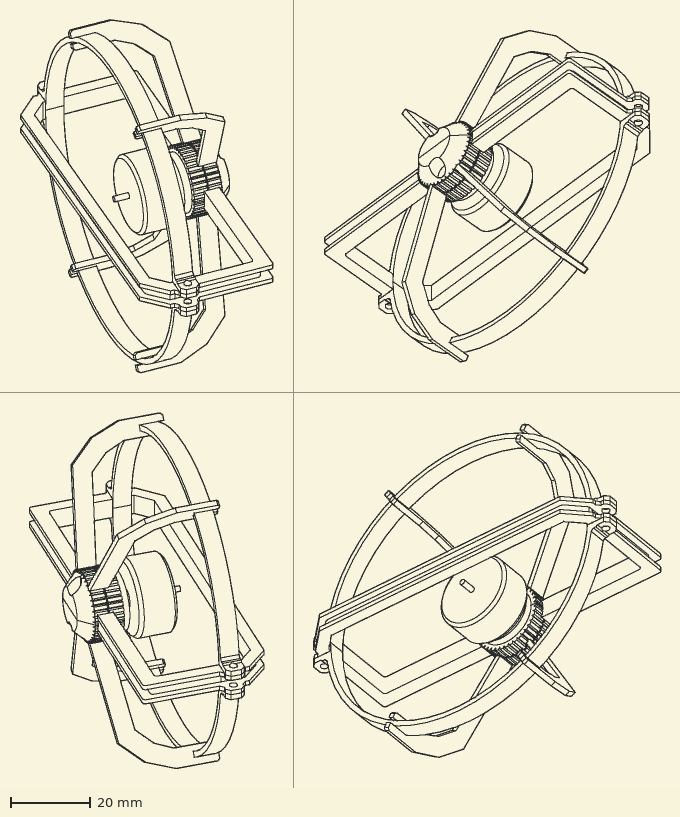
import cadquery as cq
import math

part_yaw = -0.5
wall = 1.5

ring_outer_radius = 42.7
ring_inner_radius = ring_outer_radius - wall
ring_width = 5.0
ring_front = -ring_width / 2
ring_back = ring_width / 2

plate_inner_z = 1.5
plate_outer_z = 2.75
plate_thickness = plate_outer_z - plate_inner_z
frame_inner_x = ring_inner_radius
frame_outer_x = 44.5
frame_inner_back = 19.7
frame_outer_back = 23.9
frame_inner_front = -7.25
frame_outer_front = -10.5
outer_front_chamfer = 6.0
inner_front_chamfer = 4.0
back_corner_radius = 0.8
core_front_corner_radius = 2.1

ear_tip_x = 47.45
ear_tip_chamfer = 1.1
ear_hole_x = 45.1
ear_hole_diameter = 2.0
ear_top_z = plate_outer_z + wall
gusset_size = 0.95
ear_step_x = 44.3
ear_step = 0.45
fillet_start_x = 43.1
fillet_end_z = 6.8

cone_back = 28.2
drum_back = 24.6
drum_front = 16.9
drum_radius = 9.6
cone_back_radius = 5.7
cone_base_radius = 9.3
tooth_count = 40
tooth_depth = 0.7
tooth_groove_width = 0.6
ring_groove_y = 20.9
ring_groove_width = 0.3
pocket_diameter = 4.4
pocket_offset = 6.5

arm_angles = (60, 120)
arm_root_radius = drum_radius - 1.6
arm_outer_radius = 44.7
arm_inner_radius = 39.5
arm_tip_y = -4.1
arm_tip_chamfer = 0.6

mount_flange_radius = 8.0
mount_flange_front = 14.9
mount_stem_radius = 2.6
motor_back = 13.0
motor_front = 2.8
motor_radius = 10.5
motor_chamfer_radial = 0.8
motor_back_chamfer = 1.1
motor_front_chamfer = 0.8
motor_shaft_radius = 0.75
motor_shaft_length = 4.0


def cylinder_y(radius, front, back, x=0.0, z=0.0):
    """Cylinder along Y between the two Y positions."""
    axis_plane = cq.Workplane("XZ", origin=(0, front, 0))
    return axis_plane.center(x, z).circle(radius).extrude(front - back)


def ring_tube(front, back):
    """Full annulus of the guard ring between the two Y positions."""
    outer = cylinder_y(ring_outer_radius, front, back)
    return outer.cut(cylinder_y(ring_inner_radius, front, back))


def half_space(side):
    """Large block that fills Z > 0 (side = 1) or Z < 0 (side = -1)."""
    size = 4 * ear_tip_x
    return cq.Workplane("XY").box(size, size, size).translate((0, 0, side * size / 2))


def mirror_pair(shape):
    """The shape together with its mirror image across X = 0."""
    return shape.union(shape.mirror("YZ"))


def frame_outline(half_x, back, front, chamfer, z):
    """Closed loop with 45 degree front corners, on a plane at height z."""
    points = [
        (-half_x, back),
        (half_x, back),
        (half_x, front + chamfer),
        (half_x - chamfer, front),
        (-half_x + chamfer, front),
        (-half_x, front + chamfer),
    ]
    return cq.Workplane("XY", origin=(0, 0, z)).polyline(points).close()


def round_back_corners(block):
    """Round the two vertical edges at the back of a frame block."""
    return block.edges("|Z and >Y").fillet(back_corner_radius)


def inner_outline(z):
    return frame_outline(frame_inner_x, frame_inner_back, frame_inner_front, inner_front_chamfer, z)


def ear_profile(base_z):
    """Ear outline with clipped tip corners at the +X end, on a plane at base_z."""
    points = [
        (ring_outer_radius, ring_front),
        (ear_tip_x - ear_tip_chamfer, ring_front),
        (ear_tip_x, ring_front + ear_tip_chamfer),
        (ear_tip_x, ring_back - ear_tip_chamfer),
        (ear_tip_x - ear_tip_chamfer, ring_back),
        (ring_outer_radius, ring_back),
    ]
    return cq.Workplane("XY", origin=(0, 0, base_z)).polyline(points).close()


def plate_ear(base_z):
    """Frame plate ear with its two gussets, at the +X end."""
    half_root = ring_back + gusset_size
    gusset_points = [
        (ring_outer_radius, -half_root),
        (frame_outer_x, -half_root),
        (frame_outer_x + gusset_size, ring_front),
        (frame_outer_x + gusset_size, ring_back),
        (frame_outer_x, half_root),
        (ring_outer_radius, half_root),
    ]
    gusset = cq.Workplane("XY", origin=(0, 0, base_z)).polyline(gusset_points).close()
    return ear_profile(base_z).extrude(plate_thickness).union(gusset.extrude(plate_thickness))


def ear_holes():
    """Bolt holes through the ears at both ends."""
    holes = cq.Workplane("XY").pushPoints([(-ear_hole_x, 0), (ear_hole_x, 0)])
    return holes.circle(ear_hole_diameter / 2).extrude(2 * ear_top_z, both=True)


def make_frame():
    core = inner_outline(-plate_outer_z).offset2D(wall, "intersection").extrude(2 * plate_outer_z)
    frame = round_back_corners(core).edges("|Z and <Y").fillet(core_front_corner_radius)
    for base_z in (-plate_outer_z, plate_inner_z):
        plate = frame_outline(
            frame_outer_x, frame_outer_back, frame_outer_front, outer_front_chamfer, base_z
        ).extrude(plate_thickness)
        frame = frame.union(round_back_corners(plate)).union(mirror_pair(plate_ear(base_z)))
    opening = inner_outline(-plate_outer_z).extrude(2 * plate_outer_z)
    frame = frame.cut(round_back_corners(opening))
    return frame.cut(ring_tube(ring_front, ring_back)).cut(ear_holes())


def ring_ear():
    """Upper ear at the +X end, with a small step and a fillet up to the ring."""
    fillet_end_x = math.sqrt(ring_outer_radius**2 - fillet_end_z**2)
    fillet_start_z = ear_top_z + ear_step
    bulge = 1 - math.sqrt(0.5)
    fillet_mid = (
        fillet_end_x + bulge * (fillet_start_x - fillet_end_x),
        fillet_start_z + bulge * (fillet_end_z - fillet_start_z),
    )
    root_x = (ring_inner_radius + ring_outer_radius) / 2 - wall / 4
    side = (
        cq.Workplane("XZ")
        .moveTo(root_x, plate_outer_z)
        .lineTo(ear_tip_x, plate_outer_z)
        .lineTo(ear_tip_x, ear_top_z)
        .lineTo(ear_step_x, ear_top_z)
        .lineTo(ear_step_x - ear_step, fillet_start_z)
        .lineTo(fillet_start_x, fillet_start_z)
        .threePointArc(fillet_mid, (fillet_end_x, fillet_end_z))
        .lineTo(root_x, fillet_end_z)
        .close()
        .extrude(ring_width / 2, both=True)
    )
    tip_corners = side.edges("|Z and >X")
    ear = tip_corners.chamfer(ear_tip_chamfer)
    return ear.cut(cylinder_y(ring_inner_radius, ring_front, ring_back))


def make_upper_ring():
    upper = ring_tube(ring_front, ring_back).intersect(half_space(1))
    return upper.union(mirror_pair(ring_ear())).cut(ear_holes())


def hub_drum():
    """Drum and cone with tooth grooves, ring groove and flank pockets."""
    profile = [
        (0, drum_front),
        (drum_radius, drum_front),
        (drum_radius, drum_back),
        (cone_base_radius, drum_back),
        (cone_back_radius, cone_back),
        (0, cone_back),
    ]
    drum = cq.Workplane("XY").polyline(profile).close().revolve(360, (0, 0, 0), (0, 1, 0))

    root_radius = drum_radius - tooth_depth
    groove_points = [
        (root_radius, 0),
        (drum_radius, -tooth_groove_width / 2),
        (drum_radius + tooth_depth, -tooth_groove_width / 2),
        (drum_radius + tooth_depth, tooth_groove_width / 2),
        (drum_radius, tooth_groove_width / 2),
    ]
    groove = cq.Workplane("XZ", origin=(0, drum_front, 0)).polyline(groove_points).close()
    groove_solid = groove.extrude(drum_front - cone_back).val()
    pitch = 360 / tooth_count
    grooves = [
        groove_solid.rotate(cq.Vector(0, 0, 0), cq.Vector(0, 1, 0), (i + 0.5) * pitch)
        for i in range(tooth_count)
    ]
    drum = drum.cut(cq.Workplane(obj=cq.Compound.makeCompound(grooves)))

    groove_front = ring_groove_y - ring_groove_width / 2
    groove_back = ring_groove_y + ring_groove_width / 2
    drum = drum.cut(
        cylinder_y(drum_radius, groove_front, groove_back).cut(
            cylinder_y(root_radius, groove_front, groove_back)
        )
    )

    for side in (-1, 1):
        pocket = cylinder_y(pocket_diameter / 2, drum_back, cone_back, z=side * pocket_offset)
        drum = drum.cut(pocket)
    return drum


def arm(angle):
    """Bent arm in the plane through the axis; its tip is slotted to clip over the ring."""
    outline = [
        (arm_root_radius, 24.9),
        (35.8, 21.5),
        (41.7, 15.3),
        (arm_outer_radius, 7.5),
        (arm_outer_radius, arm_tip_y + arm_tip_chamfer),
        (arm_outer_radius - arm_tip_chamfer, arm_tip_y),
        (arm_inner_radius + arm_tip_chamfer, arm_tip_y),
        (arm_inner_radius, arm_tip_y + arm_tip_chamfer),
        (arm_inner_radius, 7.2),
        (37.3, 12.3),
        (33.1, 16.7),
        (arm_root_radius, 19.9),
    ]
    flat_arm = cq.Workplane("XY").polyline(outline).close().extrude(wall / 2, both=True)
    slotted_arm = flat_arm.cut(ring_tube(arm_tip_y, ring_back))
    return slotted_arm.rotate((0, 0, 0), (0, 1, 0), -angle)


def make_upper_hub():
    hub = hub_drum().intersect(half_space(1))
    for angle in arm_angles:
        hub = hub.union(arm(angle))
    channel_depth = frame_outer_back - frame_inner_back
    channel = (
        cq.Workplane("XY")
        .box(4 * drum_radius, channel_depth, 2 * plate_outer_z)
        .translate((0, frame_inner_back + channel_depth / 2, 0))
    )
    return hub.cut(channel)


def make_mount():
    flange = cylinder_y(mount_flange_radius, mount_flange_front, drum_front)
    return flange.union(cylinder_y(mount_stem_radius, motor_back, mount_flange_front))


def make_motor():
    face_radius = motor_radius - motor_chamfer_radial
    shaft_tip = motor_front - motor_shaft_length
    profile = [
        (0, shaft_tip),
        (motor_shaft_radius, shaft_tip),
        (motor_shaft_radius, motor_front),
        (face_radius, motor_front),
        (motor_radius, motor_front + motor_front_chamfer),
        (motor_radius, motor_back - motor_back_chamfer),
        (face_radius, motor_back),
        (0, motor_back),
    ]
    return cq.Workplane("XY").polyline(profile).close().revolve(360, (0, 0, 0), (0, 1, 0))


frame = make_frame()
upper_ring = make_upper_ring()
lower_ring = upper_ring.mirror("XY")
upper_hub = make_upper_hub()
lower_hub = upper_hub.mirror("XY")
mount = make_mount()
motor = make_motor()

bodies = [frame, upper_ring, lower_ring, upper_hub, lower_hub, mount, motor]
result = cq.Compound.makeCompound(
    [body.rotate((0, 0, 0), (0, 0, 1), part_yaw).val() for body in bodies]
)